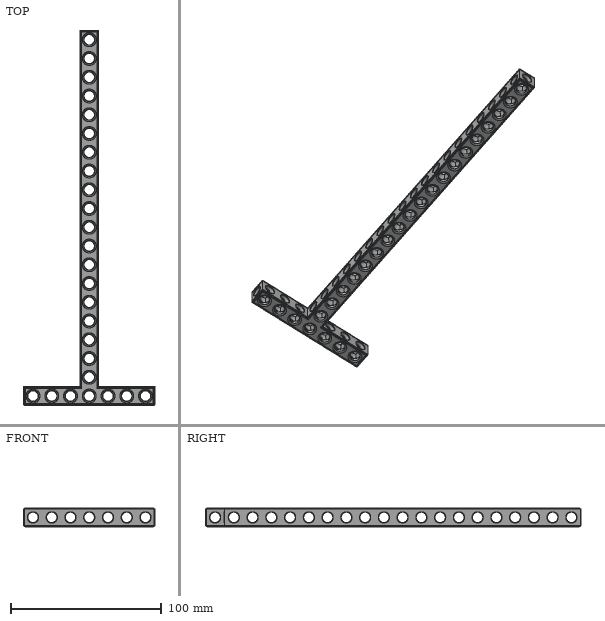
import cadquery as cq

pitch = 12.5
stem_hole_count = 20
bar_hole_count = 7
hole_diameter = 7.0
vertical_rim_diameter = 9.2
side_rim_diameter = 7.5

edge_drop = 0.8
middle_inset = 0.5
middle_drop = 0.2
corner_chamfer = 0.5

beam_width = pitch
length_y = stem_hole_count * pitch
length_x = bar_hole_count * pitch
half_width = beam_width / 2
hole_radius = hole_diameter / 2
foot_y = -length_y / 2
bar_center_y = foot_y + half_width
edge_inset = (vertical_rim_diameter - hole_diameter) / 2
side_rim_depth = (side_rim_diameter - hole_diameter) / 2

stem_stations = [bar_center_y + i * pitch for i in range(stem_hole_count)]
bar_stations = [(i - (bar_hole_count - 1) / 2) * pitch for i in range(bar_hole_count)]


def edged_prism(plane, width, length):
    """Prism along the plane's normal whose section has all four corners eased."""
    side = width / 2
    right_half = [
        (side - edge_inset, -half_width),
        (side - middle_inset, -half_width + middle_drop),
        (side, -half_width + edge_drop),
        (side, half_width - edge_drop),
        (side - middle_inset, half_width - middle_drop),
        (side - edge_inset, half_width),
    ]
    left_half = [(-u, v) for u, v in reversed(right_half)]
    section = cq.Workplane(plane).polyline(right_half + left_half).close()
    return section.extrude(length / 2, both=True)


def beam(size_x, size_y):
    """Beam with eased top and bottom edges on all four sides."""
    return edged_prism("YZ", size_y, size_x).intersect(edged_prism("XZ", size_x, size_y))


def tee_body():
    """Cross bar and stem joined flush at the foot of the T."""
    bar = beam(length_x, beam_width).translate((0, bar_center_y, 0))
    bar = bar.edges("|Z and <Y").chamfer(corner_chamfer)
    stem = beam(beam_width, length_y)
    return bar.union(stem).clean()


def hole_cutter(length, half_profile):
    """Upright cutter turned from the hole's (radius, height) profile above mid-length."""
    end = length / 2
    lower = [(radius, -height) for radius, height in reversed(half_profile)]
    outline = [(0, -end)] + lower + half_profile + [(0, end)]
    return cq.Workplane("XZ").polyline(outline).close().revolve(360, (0, 0), (0, 1))


def vertical_hole():
    """Upright cutter for a through hole whose rims are eased like the outer edges."""
    half_profile = [
        (hole_radius, half_width - edge_drop),
        (hole_radius + edge_inset - middle_inset, half_width - middle_drop),
        (hole_radius + edge_inset, half_width),
    ]
    return hole_cutter(beam_width, half_profile)


def side_hole(length):
    """Upright cutter for a through hole with a small chamfer at each rim."""
    half_profile = [
        (hole_radius, length / 2 - side_rim_depth),
        (hole_radius + side_rim_depth, length / 2),
    ]
    return hole_cutter(length, half_profile)


def along_x(cutter):
    return cutter.rotate((0, 0, 0), (0, 1, 0), 90)


def along_y(cutter):
    return cutter.rotate((0, 0, 0), (1, 0, 0), 90)


result = tee_body()

for y in stem_stations:
    crosswise_length = length_x if y == bar_center_y else beam_width
    result = result.cut(along_x(side_hole(crosswise_length)).translate((0, y, 0)))
    result = result.cut(vertical_hole().translate((0, y, 0)))

for x in bar_stations:
    if x == 0:
        result = result.cut(along_y(side_hole(length_y)))
    else:
        result = result.cut(along_y(side_hole(beam_width)).translate((x, bar_center_y, 0)))
        result = result.cut(vertical_hole().translate((x, bar_center_y, 0)))